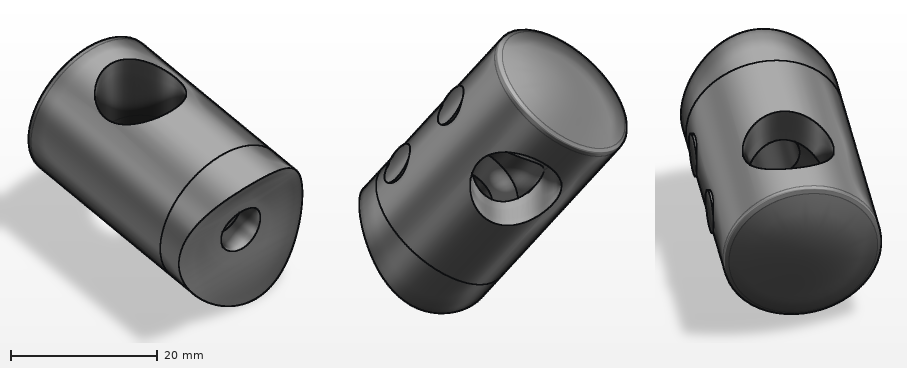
import cadquery as cq
import math

overall_length = 37.48
body_radius = 11.0
joint_x = 30.42
dome_radius = 30.0
rim_start_radius = 10.35
rim_end_x = 2.75

bar_hole_x = 13.0
bar_hole_radius = 6.25
tube_radius = 21.2
tube_axis_x = overall_length + math.sqrt(tube_radius**2 - body_radius**2)

bolt_head_radius = 6.0
bolt_shank_radius = 3.5
countersink_x = 20.9
countersink_depth = bolt_head_radius - bolt_shank_radius

screw_radius = 3.0
screw_length = 5.0
screw_tip_y = 5.93
screw_cone_height = screw_radius
screw_spacing = 12.5
screw_xs = (bar_hole_x, bar_hole_x + screw_spacing)


def revolve_about_x(profile):
    """Solid of revolution from a half profile that starts and ends on the X axis."""
    return profile.close().revolve(360, (0, 0, 0), (1, 0, 0))


def dome_point(radius):
    """Point on the domed end at the given distance from the body axis."""
    return dome_radius - math.sqrt(dome_radius**2 - radius**2), radius


def domed_blank():
    """Cylinder with a domed end; a tight blend rounds the rim between dome and side."""
    rim_start = dome_point(rim_start_radius)
    rim_end = (rim_end_x, body_radius)
    dome_slope = math.tan(math.asin(rim_start_radius / dome_radius))
    rim_corner = (rim_start[0] + (body_radius - rim_start_radius) * dome_slope, body_radius)
    profile = (
        cq.Workplane("XY")
        .threePointArc(dome_point(rim_start_radius / 2), rim_start)
        .bezier([rim_corner, rim_corner, rim_end], includeCurrent=True)
        .lineTo(joint_x, body_radius)
        .lineTo(joint_x, 0)
    )
    return revolve_about_x(profile)


def bolt_bore():
    """Stepped bore volume: head clearance, countersink, then shank hole to the saddle end."""
    shank_x = countersink_x + countersink_depth
    profile = (
        cq.Workplane("XY")
        .moveTo(bar_hole_x, 0)
        .lineTo(bar_hole_x, bolt_head_radius)
        .lineTo(countersink_x, bolt_head_radius)
        .lineTo(shank_x, bolt_shank_radius)
        .lineTo(overall_length, bolt_shank_radius)
        .lineTo(overall_length, 0)
    )
    return revolve_about_x(profile)


def cone_point_screw(x, end_y):
    """Headless screw along Y, its tip toward the body axis and its flat end at end_y."""
    return (
        cq.Workplane("XY")
        .moveTo(x, screw_tip_y)
        .lineTo(x + screw_radius, screw_tip_y + screw_cone_height)
        .lineTo(x + screw_radius, end_y)
        .lineTo(x, end_y)
        .close()
        .revolve(360, (x, 0, 0), (x, 1, 0))
    )


def make_housing():
    bar_hole = cq.Workplane("XY").center(bar_hole_x, 0).circle(bar_hole_radius).extrude(body_radius, both=True)
    housing = domed_blank().cut(bar_hole).cut(bolt_bore())
    for x in screw_xs:
        housing = housing.cut(cone_point_screw(x, body_radius))
    return housing


def make_saddle():
    blank = cq.Workplane("YZ").workplane(offset=joint_x).circle(body_radius).extrude(overall_length - joint_x)
    tube = cq.Workplane("XZ").center(tube_axis_x, 0).circle(tube_radius).extrude(body_radius, both=True)
    return blank.cut(tube).cut(bolt_bore())


housing = make_housing()
saddle = make_saddle()
screws = [cone_point_screw(x, screw_tip_y + screw_length) for x in screw_xs]

result = cq.Compound.makeCompound([housing.val(), saddle.val(), *[screw.val() for screw in screws]])